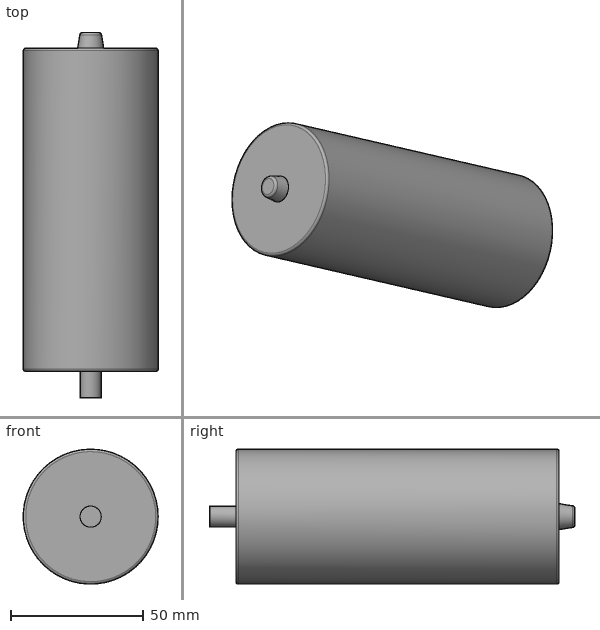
import cadquery as cq

overall_length = 138.0
can_diameter = 51.0
rim_radius = 1.0

pin_diameter = 8.0
pin_length = 10.0

boss_length = 6.0
boss_base_diameter = 10.0
boss_tip_diameter = 8.0
boss_tip_radius = 1.1

pin_tip_y = -overall_length / 2
boss_tip_y = overall_length / 2
can_front_y = pin_tip_y + pin_length
can_rear_y = boss_tip_y - boss_length


def cylinder_along_y(diameter, y_start, y_end):
    """Solid cylinder centred on the Y axis between two Y positions."""
    return (
        cq.Workplane("XZ", origin=(0, y_start, 0))
        .circle(diameter / 2)
        .extrude(y_start - y_end)
    )


def make_boss():
    """Tapered boss standing on the rear face of the can, with a rounded tip edge."""
    cone = (
        cq.Workplane("XY")
        .moveTo(0, can_rear_y)
        .lineTo(boss_base_diameter / 2, can_rear_y)
        .lineTo(boss_tip_diameter / 2, boss_tip_y)
        .lineTo(0, boss_tip_y)
        .close()
        .revolve(360, (0, 0, 0), (0, 1, 0))
    )
    return cone.faces(">Y").edges().fillet(boss_tip_radius)


def make_can():
    """Can with rounded rims at both ends and the boss in one piece with it."""
    shell = cylinder_along_y(can_diameter, can_front_y, can_rear_y)
    shell = shell.edges("%CIRCLE").fillet(rim_radius)
    return shell.union(make_boss())


def make_terminal_pin():
    """Straight pin standing on the front face of the can."""
    return cylinder_along_y(pin_diameter, pin_tip_y, can_front_y)


can = make_can()
terminal_pin = make_terminal_pin()
result = cq.Compound.makeCompound([can.solids().val(), terminal_pin.val()])